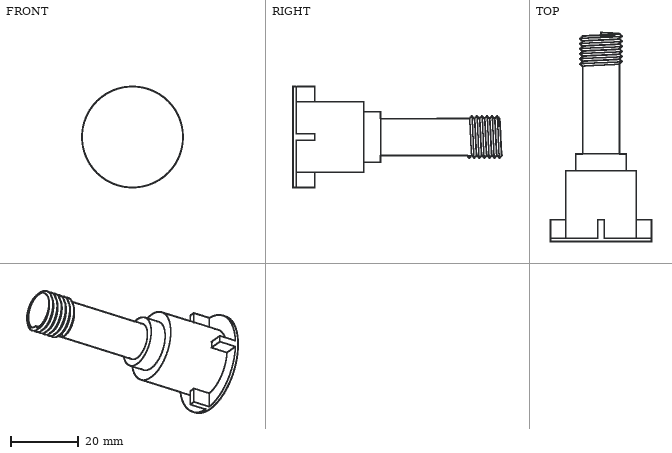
import cadquery as cq

flange_diameter = 30.0
flange_thickness = 1.0
body_diameter = 21.0
body_end = 21.0
collar_diameter = 15.0
collar_end = 26.0
shank_diameter = 11.0
shank_end = 61.0

fin_count = 4
fin_width = 2.0
fin_end = 6.5

thread_end = 62.0
thread_crest_diameter = 12.5
thread_turns = 6
thread_rise = 9.0
thread_pitch = thread_rise / thread_turns
thread_root_gap = 0.01
thread_overlap = 0.03


def cylinder_along_y(diameter, end):
    """Solid cylinder from the flange face to the given Y."""
    return cq.Workplane("XZ").circle(diameter / 2).extrude(-end)


def make_fins():
    """Radial fins in a cross, trimmed to the flange diameter."""
    envelope = cylinder_along_y(flange_diameter, fin_end)
    cross = cq.Workplane("XY")
    for index in range(fin_count):
        fin = cq.Workplane("XY").box(
            flange_diameter / 2, fin_end, fin_width, centered=(False, False, True)
        )
        cross = cross.union(fin.rotate((0, 0, 0), (0, 1, 0), index * 360 / fin_count))
    return envelope.intersect(cross)


def make_thread():
    """Right-handed V thread that starts and ends on the -Z side."""
    root_radius = shank_diameter / 2 - thread_overlap
    crest_radius = thread_crest_diameter / 2
    half_root = (thread_pitch - thread_root_gap) / 2
    path = cq.Wire.makeHelix(thread_pitch, thread_rise, root_radius)
    profile = cq.Workplane("XZ").polyline(
        [(root_radius, -half_root), (crest_radius, 0), (root_radius, half_root)]
    ).close()
    thread = profile.sweep(cq.Workplane(path), isFrenet=True)
    thread = thread.rotate((0, 0, 0), (1, 0, 0), -90)
    thread = thread.rotate((0, 0, 0), (0, 1, 0), 90)
    thread_start = thread_end - half_root - thread_rise
    return thread.translate((0, thread_start, 0))


result = (
    cylinder_along_y(flange_diameter, flange_thickness)
    .union(cylinder_along_y(body_diameter, body_end))
    .union(cylinder_along_y(collar_diameter, collar_end))
    .union(make_fins())
    .union(cylinder_along_y(shank_diameter, shank_end))
    .union(make_thread())
)